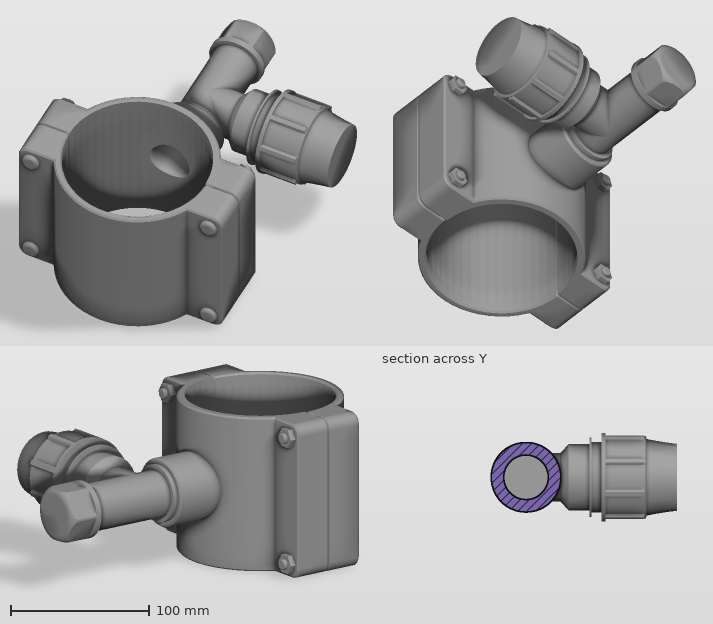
import cadquery as cq
import math

TOTAL_WIDTH = 191.5
TOTAL_DEPTH = 247.3

CLAMP_HEIGHT = 116.0
SHELL_RADIUS = 60.5
BORE_RADIUS = 55.0
EAR_HALF_SPAN = 82.3
EAR_DEPTH = 28.0
EAR_CORNER_RADIUS = 8.2
EDGE_CHAMFER = 1.2
TOLERANCE = 0.02

SCREW_X = 71.7
SCREW_Z = 47.5
SCREW_DIAMETER = 8.0
SCREW_END_Y = 35.4
SCREW_TIP_CHAMFER = 0.7
HEAD_DIAMETER = 13.0
HEAD_HEIGHT = 3.5
NUT_ACROSS_FLATS = 13.0
NUT_HEIGHT = 4.5

STACK_END_Y = TOTAL_DEPTH - SHELL_RADIUS
BOSS_DIAMETER = 50.7
BOSS_END_Y = 91.2
BOSS_CHAMFER = 1.2
TUBE_DIAMETER = 35.0
COLLAR_DIAMETER = 42.8
LOWER_COLLAR_HEIGHT = 3.7
CAP_COLLAR_Y = 160.2
CAP_HEX_Y = 164.7
CAP_ACROSS_FLATS = 37.8
CAP_FILLET = 6.0
TAP_HOLE_DIAMETER = 32.0

BRANCH_Y = 113.7
BRANCH_END_X = TOTAL_WIDTH - EAR_HALF_SPAN
CONE_X = 24.7
BODY_X = 30.7
RING_X = 45.7
NECK_X = 47.2
FLANGE_X = 54.6
GRIP_X = 57.5
GRIP_END_X = 86.5
TAPER_X = 87.3
BODY_DIAMETER = 48.0
RING_DIAMETER = 57.5
NECK_DIAMETER = 51.2
FLANGE_DIAMETER = 64.0
GRIP_DIAMETER = 59.8
TAPER_START_DIAMETER = 55.5
TAPER_END_DIAMETER = 48.5
TAPER_SAG = 0.2
RIB_COUNT = 8
RIB_TOP_WIDTH = 3.2
RIB_BASE_WIDTH = 5.7
RIB_END_GAP = 0.7
RIB_ROOT_DEPTH = 2.5


def cylinder_y(diameter, start_y, end_y, x=0, z=0):
    """Cylinder along Y between two Y stations."""
    disc = cq.Workplane("XZ", origin=(x, start_y, z)).circle(diameter / 2)
    return disc.extrude(start_y - end_y)


def hexagon_y(across_flats, start_y, end_y, x=0, z=0):
    """Hexagonal prism along Y with corners pointing along X."""
    across_corners = across_flats / math.cos(math.pi / 6)
    outline = cq.Workplane("XZ", origin=(x, start_y, z)).polygon(6, across_corners)
    return outline.extrude(start_y - end_y)


def centered_cylinder_z(radius, height):
    """Cylinder along Z centred on the origin."""
    return cq.Workplane("XY", origin=(0, 0, -height / 2)).circle(radius).extrude(height)


def clamp_half(side, cut_before_chamfer=None):
    """Half of the clamp on the +Y (side=1) or -Y (side=-1) side of the parting plane.

    A body given as cut_before_chamfer is removed first, so its rims get chamfers as well.
    """
    ears = cq.Workplane("XY").box(2 * EAR_HALF_SPAN, 2 * EAR_DEPTH, CLAMP_HEIGHT)
    ears = ears.edges("|Y").fillet(EAR_CORNER_RADIUS)
    whole = ears.union(centered_cylinder_z(SHELL_RADIUS, CLAMP_HEIGHT))
    keep = cq.Workplane("XY").box(2 * EAR_HALF_SPAN, 2 * SHELL_RADIUS, CLAMP_HEIGHT)
    half = whole.intersect(keep.translate((0, side * SHELL_RADIUS, 0)))
    if cut_before_chamfer is not None:
        half = half.cut(cut_before_chamfer)

    def is_broken(edge):
        """True on the parting face, the shell rims and the outer border of the ear faces."""
        center = edge.Center()
        box = edge.BoundingBox()
        across_y = box.ylen < TOLERANCE
        on_parting_face = across_y and abs(center.y) < TOLERANCE
        on_ear_face = across_y and abs(abs(center.y) - EAR_DEPTH) < TOLERANCE
        beyond_shell = abs(center.x) > SHELL_RADIUS
        is_rim = edge.geomType() == "CIRCLE" and box.zlen < TOLERANCE
        return on_parting_face or is_rim or (on_ear_face and beyond_shell)

    broken_edges = [edge for edge in half.edges().vals() if is_broken(edge)]
    return half.newObject(broken_edges).chamfer(EDGE_CHAMFER)


def clamp_screw(x, z):
    """Round-head screw, its dome ending in a flat of the shank size, with a hexagon nut."""
    head_y = -EAR_DEPTH - HEAD_HEIGHT
    head = cylinder_y(HEAD_DIAMETER, head_y, -EAR_DEPTH, x, z)
    head = head.faces("<Y").edges().fillet((HEAD_DIAMETER - SCREW_DIAMETER) / 2)
    shank = cylinder_y(SCREW_DIAMETER, -EAR_DEPTH, SCREW_END_Y, x, z)
    shank = shank.faces(">Y").chamfer(SCREW_TIP_CHAMFER)
    nut = hexagon_y(NUT_ACROSS_FLATS, EAR_DEPTH, EAR_DEPTH + NUT_HEIGHT, x, z)
    return head.union(shank).union(nut)


def outlet_stack():
    """Boss on the clamp, riser tube and hexagonal end cap rounded at its tip."""
    boss = cylinder_y(BOSS_DIAMETER, 0, BOSS_END_Y).faces(">Y").chamfer(BOSS_CHAMFER)
    lower_collar = cylinder_y(COLLAR_DIAMETER, BOSS_END_Y, BOSS_END_Y + LOWER_COLLAR_HEIGHT)
    tube = cylinder_y(TUBE_DIAMETER, BOSS_END_Y, CAP_COLLAR_Y)
    cap = cylinder_y(COLLAR_DIAMETER, CAP_COLLAR_Y, STACK_END_Y).faces(">Y").edges().fillet(CAP_FILLET)
    hexagon = hexagon_y(CAP_ACROSS_FLATS, CAP_HEX_Y, STACK_END_Y)
    collar = cylinder_y(COLLAR_DIAMETER, CAP_COLLAR_Y, CAP_HEX_Y)
    cap = cap.intersect(hexagon.union(collar))
    return boss.union(lower_collar).union(tube).union(cap)


def branch():
    """Compression fitting: a turned body along X with grip ribs on its nut."""
    taper_middle = ((TAPER_X + BRANCH_END_X) / 2,
                    (TAPER_START_DIAMETER + TAPER_END_DIAMETER) / 4 - TAPER_SAG)
    profile = (
        cq.Workplane("XY")
        .moveTo(0, 0)
        .lineTo(0, TUBE_DIAMETER / 2)
        .lineTo(CONE_X, TUBE_DIAMETER / 2)
        .lineTo(BODY_X, BODY_DIAMETER / 2)
        .lineTo(RING_X, BODY_DIAMETER / 2)
        .lineTo(RING_X, RING_DIAMETER / 2)
        .lineTo(NECK_X, RING_DIAMETER / 2)
        .lineTo(NECK_X, NECK_DIAMETER / 2)
        .lineTo(FLANGE_X, NECK_DIAMETER / 2)
        .lineTo(FLANGE_X, FLANGE_DIAMETER / 2)
        .lineTo(GRIP_X, FLANGE_DIAMETER / 2)
        .lineTo(GRIP_X, GRIP_DIAMETER / 2)
        .lineTo(GRIP_END_X, GRIP_DIAMETER / 2)
        .lineTo(TAPER_X, TAPER_START_DIAMETER / 2)
        .threePointArc(taper_middle, (BRANCH_END_X, TAPER_END_DIAMETER / 2))
        .lineTo(BRANCH_END_X, 0)
        .close()
    )
    body = profile.revolve(360, (0, 0, 0), (1, 0, 0))

    top_radius = FLANGE_DIAMETER / 2
    base_radius = GRIP_DIAMETER / 2
    root_radius = base_radius - RIB_ROOT_DEPTH
    rib = (
        cq.Workplane("YZ", origin=(GRIP_X, 0, 0))
        .moveTo(-RIB_BASE_WIDTH / 2, root_radius)
        .lineTo(-RIB_BASE_WIDTH / 2, base_radius)
        .lineTo(-RIB_TOP_WIDTH / 2, top_radius)
        .lineTo(RIB_TOP_WIDTH / 2, top_radius)
        .lineTo(RIB_BASE_WIDTH / 2, base_radius)
        .lineTo(RIB_BASE_WIDTH / 2, root_radius)
        .close()
        .extrude(GRIP_END_X - RIB_END_GAP - GRIP_X)
    )
    pitch = 360 / RIB_COUNT
    for index in range(RIB_COUNT):
        body = body.union(rib.rotate((0, 0, 0), (1, 0, 0), (index + 0.5) * pitch))
    return body.translate((0, BRANCH_Y, 0))


pipe_bore = centered_cylinder_z(BORE_RADIUS, CLAMP_HEIGHT)
tap_hole = cylinder_y(TAP_HOLE_DIAMETER, 0, BOSS_END_Y)

result = clamp_half(1).union(outlet_stack()).union(branch()).cut(pipe_bore)
result = result.union(clamp_half(-1, cut_before_chamfer=pipe_bore))
for screw_x in (-SCREW_X, SCREW_X):
    for screw_z in (-SCREW_Z, SCREW_Z):
        result = result.union(clamp_screw(screw_x, screw_z))
result = result.cut(tap_hole)